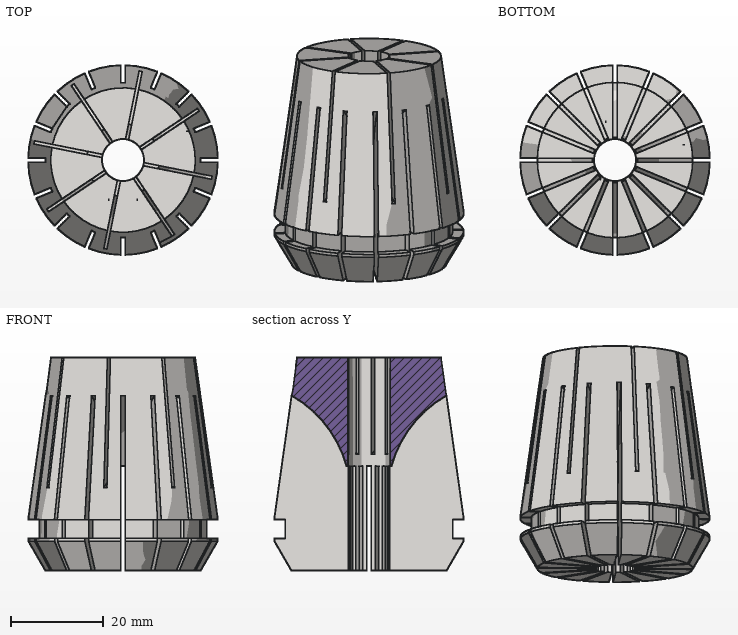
import cadquery as cq
import math

height = 46.0
taper_diameter = 41.0
taper_bottom = 11.0
taper_angle = 8.0
groove_radius = 18.12
groove_bottom = 7.0
rim_radius = 20.42
rim_bottom = 6.35
nose_angle = 30.0
bore_radius = 4.5

nose_slot_count = 16
nose_slot_pitch = 360 / nose_slot_count
nose_slot_width = 0.87
nose_saw_radius = 25.0
nose_saw_reach = 29.0
nose_saw_height = 16.0
nose_slot_core_height = 22.55

top_slot_count = 8
top_slot_width = 0.7
top_slot_start_angle = 1.5 * nose_slot_pitch
top_saw_radius = 18.0
top_saw_reach = 23.0
top_saw_height = 35.5
core_saw_radius = 30.0
core_meet_radius = 7.8

clearance = 0.45


def slope_run(rise, angle):
    return rise * math.tan(math.radians(angle))


def make_body():
    taper_radius = taper_diameter / 2
    top_radius = taper_radius - slope_run(height - taper_bottom, taper_angle)
    nose_radius = rim_radius - slope_run(rim_bottom, nose_angle)
    return (
        cq.Workplane("XZ")
        .moveTo(bore_radius, 0)
        .lineTo(nose_radius, 0)
        .lineTo(rim_radius, rim_bottom)
        .lineTo(rim_radius, groove_bottom)
        .lineTo(groove_radius, groove_bottom)
        .lineTo(groove_radius, taper_bottom)
        .lineTo(taper_radius, taper_bottom)
        .lineTo(top_radius, height)
        .lineTo(bore_radius, height)
        .close()
        .revolve(360, (0, 0, 0), (0, 1, 0))
    )


def make_nose_cutter():
    """Radial blade along +X, open at the nose, with a ceiling that rises outwards along the saw arc."""

    def on_arc(angle):
        return (
            nose_saw_reach - nose_saw_radius * math.cos(angle),
            nose_saw_height + nose_saw_radius * math.sin(angle),
        )

    arc_start = math.asin((nose_slot_core_height - nose_saw_height) / nose_saw_radius)
    arc_end = math.pi / 2
    return (
        cq.Workplane("XZ")
        .moveTo(0, -clearance)
        .lineTo(0, nose_slot_core_height)
        .lineTo(*on_arc(arc_start))
        .threePointArc(on_arc((arc_start + arc_end) / 2), on_arc(arc_end))
        .lineTo(nose_saw_reach, -clearance)
        .close()
        .extrude(nose_slot_width / 2, both=True)
    )


def make_top_cutter():
    """Radial blade along +X, open at the top, with a floor made of two saw arcs."""

    def on_arc(angle):
        return (
            top_saw_reach - top_saw_radius * math.sin(angle),
            top_saw_height - top_saw_radius * math.cos(angle),
        )

    arc_start = math.asin((top_saw_reach - core_meet_radius) / top_saw_radius)
    meet_height = on_arc(arc_start)[1]
    core_saw_height = meet_height + math.sqrt(core_saw_radius**2 - core_meet_radius**2)

    def core_floor(radius):
        return (radius, core_saw_height - math.sqrt(core_saw_radius**2 - radius**2))

    return (
        cq.Workplane("XZ")
        .moveTo(0, height + clearance)
        .lineTo(*core_floor(0))
        .threePointArc(core_floor(core_meet_radius / 2), on_arc(arc_start))
        .threePointArc(on_arc(arc_start / 2), on_arc(0))
        .lineTo(top_saw_reach, height + clearance)
        .close()
        .extrude(top_slot_width / 2, both=True)
    )


def cut_around(body, cutter, count, start_angle):
    for index in range(count):
        angle = start_angle + index * 360 / count
        body = body.cut(cutter.rotate((0, 0, 0), (0, 0, 1), angle))
    return body


result = make_body()
result = cut_around(result, make_nose_cutter(), nose_slot_count, 0)
result = cut_around(result, make_top_cutter(), top_slot_count, top_slot_start_angle)